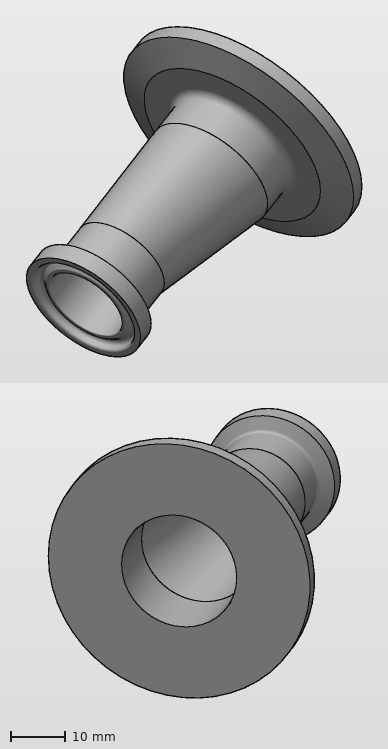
import cadquery as cq
import math

length = 50.8
reducer_front = 12.7
reducer_back = 38.1

large_radius = 12.7
small_radius = 9.55
wall = 1.65
large_bore_radius = large_radius - wall
small_bore_radius = small_radius - wall
small_axis_x = small_radius - large_radius

clamp_slope = math.tan(math.radians(20.0))

large_rim_radius = 25.2
large_rim_thickness = 2.85
large_face_radius = 19.3
large_fillet = 1.6

small_rim_radius = 12.5
small_rim_thickness = 3.65
small_fillet = 0.8

groove_wall_radius = 10.95
groove_rim_round = 0.5
groove_floor_round = 0.8
groove_depth = 1.9
groove_lean = math.radians(30.0)
lip_radius = 8.6
lip_round = 0.4
lip_recess = 0.8
bore_round = 0.15


def revolve_about_y(profile):
    """Turn a closed radius/Y outline into a solid of revolution about Y."""
    return profile.close().revolve(360, (0, 0, 0), (0, 1, 0))


def make_large_ferrule():
    rim_front = length - large_rim_thickness
    face_y = rim_front - (large_rim_radius - large_face_radius) * clamp_slope
    fillet_start = (large_radius, face_y - large_fillet)
    fillet_end = (large_radius + large_fillet, face_y)
    mid_offset = large_fillet * (1 - math.sqrt(0.5))
    fillet_mid = (large_radius + mid_offset, face_y - mid_offset)
    return revolve_about_y(
        cq.Workplane("XY")
        .moveTo(large_bore_radius, reducer_back)
        .lineTo(large_radius, reducer_back)
        .lineTo(*fillet_start)
        .threePointArc(fillet_mid, fillet_end)
        .lineTo(large_face_radius, face_y)
        .lineTo(large_rim_radius, rim_front)
        .lineTo(large_rim_radius, length)
        .lineTo(large_bore_radius, length)
    )


def point_on_circle(center, radius, angle):
    """Point at the given angle in radians, counted from the radial direction toward +Y."""
    return (center[0] + radius * math.cos(angle), center[1] + radius * math.sin(angle))


def make_small_ferrule_blank():
    fillet_center_x = small_radius + small_fillet
    slope_angle = math.atan(clamp_slope)
    slope_touch_angle = -math.pi / 2 - slope_angle
    slope_touch_x = fillet_center_x + small_fillet * math.cos(slope_touch_angle)
    slope_touch_y = small_rim_thickness + (small_rim_radius - slope_touch_x) * clamp_slope
    fillet_center = (fillet_center_x, slope_touch_y + small_fillet * math.cos(slope_angle))
    mid_angle = (slope_touch_angle - math.pi) / 2
    return revolve_about_y(
        cq.Workplane("XY")
        .moveTo(small_bore_radius, 0)
        .lineTo(small_rim_radius, 0)
        .lineTo(small_rim_radius, small_rim_thickness)
        .lineTo(slope_touch_x, slope_touch_y)
        .threePointArc(
            point_on_circle(fillet_center, small_fillet, mid_angle),
            (small_radius, fillet_center[1]),
        )
        .lineTo(small_radius, reducer_front)
        .lineTo(small_bore_radius, reducer_front)
    )


def make_gasket_groove():
    rim_center = (groove_wall_radius + groove_rim_round, groove_rim_round)
    floor_center = (groove_wall_radius - groove_floor_round, groove_depth - groove_floor_round)
    lip_center = (lip_radius, lip_recess + lip_round)
    bore_center = (small_bore_radius + bore_round, lip_recess + bore_round)
    lean_angle = math.pi - groove_lean
    lip_angle = -groove_lean
    lip_mid_angle = (lip_angle - math.pi / 2) / 2
    return revolve_about_y(
        cq.Workplane("XY")
        .moveTo(rim_center[0], 0)
        .threePointArc(
            point_on_circle(rim_center, groove_rim_round, -3 * math.pi / 4),
            (groove_wall_radius, groove_rim_round),
        )
        .lineTo(groove_wall_radius, floor_center[1])
        .threePointArc(
            point_on_circle(floor_center, groove_floor_round, math.pi / 2),
            point_on_circle(floor_center, groove_floor_round, lean_angle),
        )
        .lineTo(*point_on_circle(lip_center, lip_round, lip_angle))
        .threePointArc(
            point_on_circle(lip_center, lip_round, lip_mid_angle),
            (lip_radius, lip_recess),
        )
        .lineTo(bore_center[0], lip_recess)
        .threePointArc(
            point_on_circle(bore_center, bore_round, -3 * math.pi / 4),
            (small_bore_radius, bore_center[1]),
        )
        .lineTo(0, bore_center[1])
        .lineTo(0, 0)
    )


def make_small_ferrule():
    ferrule = make_small_ferrule_blank().cut(make_gasket_groove())
    return ferrule.translate((small_axis_x, 0, 0))


def make_slanted_cone(front_radius, back_radius):
    """Cone from the small tube axis at the front to the large tube axis at the back."""
    along_y = cq.Vector(0, 1, 0)
    front = cq.Wire.makeCircle(front_radius, cq.Vector(small_axis_x, reducer_front, 0), along_y)
    back = cq.Wire.makeCircle(back_radius, cq.Vector(0, reducer_back, 0), along_y)
    return cq.Workplane(obj=cq.Solid.makeLoft([front, back], True))


def make_reducer():
    outside = make_slanted_cone(small_radius, large_radius)
    bore = make_slanted_cone(small_bore_radius, large_bore_radius)
    return outside.cut(bore)


large_ferrule = make_large_ferrule()
reducer = make_reducer()
small_ferrule = make_small_ferrule()

result = cq.Compound.makeCompound([large_ferrule.val(), reducer.val(), small_ferrule.val()])